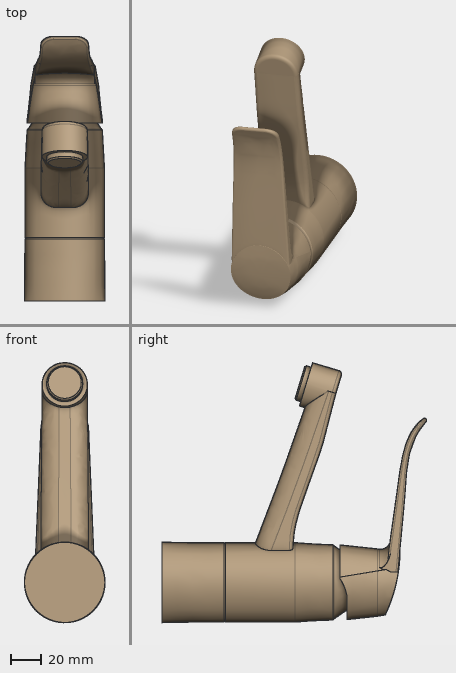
import cadquery as cq
import math


BASE_RADIUS = 26.87
BARREL_RADIUS = 26.5
SHOULDER_RADIUS = 25.1
NECK_RADIUS = 18.6
GROOVE_Y = 41.8
GROOVE_WIDTH = 0.9
GROOVE_DEPTH = 0.4
TAPER_START_Y = 88.5
SHOULDER_Y = 114.4
SHOULDER_CHAMFER = 0.6
NECK_Y = 123.0

HUB_FRONT_Y = 118.4
HUB_FRONT_RADIUS = 25.0
HUB_KNEE_Y = 143.5
HUB_KNEE_RADIUS = 22.3
HUB_BACK_Y = 161.0
HUB_BACK_RADIUS = 19.2
HUB_BOTTOM_BACK_Y = 145.5
HUB_TOP_INSIDE_LEVER = (154.0, 30.0)

RIDGE_STEP = 0.3
RIDGE_FRONT_Z = 3.5
RIDGE_BACK_Z = 10.5
SKIRT_FRONT_Y = 123.0
SKIRT_BREAK_Z = 2.6
SKIRT_CURVE_MID = (121.2, -2.5)
SKIRT_TOP_Z = -8.4

LEVER_BACK = [
    (148.5, -21.9), (154.8, -5.2), (158.5, 23.2),
    (161.9, 60.2), (164.8, 85.8), (176.75, 108.0),
]
LEVER_FRONT = [
    (174.75, 109.5), (166.9, 101.5), (159.9, 83.0),
    (156.1, 57.4), (151.9, 28.5), (150.0, 10.0),
]
LEVER_TOP_Z = 110.0
LEVER_TIP_HEIGHT = 5.0
LEVER_ROOT_Z = 7.0
LEVER_ROOT_HALF_WIDTH = 19.9
LEVER_TOP_HALF_WIDTH = 15.6
LEVER_CORNER_RADIUS = 8.5
LEVER_EDGE_RADIUS = 1.2
LEVER_THICKNESS_RISE = 3.0

BLEND_LENGTH = 8.75
BLEND_HEIGHT = 6.5
BLEND_MID_LENGTH = 5.8
BLEND_MID_HEIGHT = 1.0

HEAD_TILT = math.radians(16.8)
HEAD_RADIUS = 15.1
HEAD_LENGTH = 20.8
HEAD_FACE_Y = 95.9
HEAD_FACE_Z = 131.69
BACK_EDGE_RADIUS = 2.5
AERATOR_RADIUS = 12.0
AERATOR_LENGTH = 4.25
AERATOR_CHAMFER = 1.0

ARM_BACK = [(107.3, 92.9), (99.0, 68.7), (91.5, 47.4)]
ARM_FRONT_MID = (80.7, 75.0)
ARM_ROOT_Z = 18.0
ARM_ROOT_BACK_Y = 87.2
ARM_ROOT_FRONT_Y = 59.0
ARM_ROOT_HALF_WIDTH = 15.9
ARM_TOP_DEPTH = 4.2
ARM_FRONT_RADIUS = 11.6
ARM_SPLIT_Y = 92.0
ARM_EDGE_MARGIN = 15.0

REACH = 250.0


def turned(points):
    """Revolve a closed (radius, Y) outline about the Y axis."""
    return cq.Workplane("XY").polyline(points).close().revolve(360, (0, 0, 0), (0, 1, 0))


def side_sketch():
    """Workplane for (Y, Z) outlines, far out on the -X side."""
    return cq.Workplane("YZ", origin=(-REACH, 0, 0))


def across(outline):
    """Sweep a (Y, Z) outline right across the part."""
    return outline.extrude(2 * REACH)


def tapered_plate(bottom_z, bottom_half_width, top_z, top_half_width):
    """Symmetric trapezoid in X and Z, swept along the full length in Y."""
    return (
        cq.Workplane("XZ", origin=(0, REACH, 0))
        .moveTo(-bottom_half_width, bottom_z)
        .lineTo(bottom_half_width, bottom_z)
        .lineTo(top_half_width, top_z)
        .lineTo(-top_half_width, top_z)
        .close()
        .extrude(REACH)
    )


def edges_between(solid, low_z, high_z):
    """Edges whose centre lies between two heights."""
    return [edge for edge in solid.edges().vals() if low_z < edge.Center().z < high_z]


def make_body():
    groove_start = GROOVE_Y - GROOVE_WIDTH / 2
    groove_end = GROOVE_Y + GROOVE_WIDTH / 2
    groove_radius = BARREL_RADIUS - GROOVE_DEPTH
    return turned([
        (0, 0),
        (BASE_RADIUS, 0),
        (BARREL_RADIUS, groove_start),
        (groove_radius, groove_start),
        (groove_radius, groove_end),
        (BARREL_RADIUS, groove_end),
        (BARREL_RADIUS, TAPER_START_Y),
        (SHOULDER_RADIUS, SHOULDER_Y - SHOULDER_CHAMFER),
        (SHOULDER_RADIUS - SHOULDER_CHAMFER, SHOULDER_Y),
        (NECK_RADIUS, NECK_Y),
        (0, NECK_Y),
    ])


def hub_cone(extra_radius):
    return turned([
        (0, HUB_FRONT_Y),
        (HUB_FRONT_RADIUS + extra_radius, HUB_FRONT_Y),
        (HUB_KNEE_RADIUS + extra_radius, HUB_KNEE_Y),
        (HUB_BACK_RADIUS + extra_radius, HUB_BACK_Y),
        (0, HUB_BACK_Y),
    ])


def make_hub():
    """Cone with a skirt below a sloping ridge, trimmed to its side outline."""
    below_ridge = (
        side_sketch()
        .moveTo(HUB_FRONT_Y, RIDGE_FRONT_Z)
        .lineTo(HUB_BACK_Y, RIDGE_BACK_Z)
        .lineTo(HUB_BACK_Y, -REACH)
        .lineTo(HUB_FRONT_Y, -REACH)
        .close()
    )
    outline = (
        side_sketch()
        .moveTo(HUB_FRONT_Y, HUB_TOP_INSIDE_LEVER[1])
        .lineTo(HUB_FRONT_Y, SKIRT_BREAK_Z)
        .threePointArc(SKIRT_CURVE_MID, (SKIRT_FRONT_Y, SKIRT_TOP_Z))
        .lineTo(SKIRT_FRONT_Y, -REACH)
        .lineTo(HUB_BOTTOM_BACK_Y, -REACH)
        .lineTo(*LEVER_BACK[0])
        .spline(LEVER_BACK[1:3], includeCurrent=True)
        .lineTo(*HUB_TOP_INSIDE_LEVER)
        .close()
    )
    skirt = hub_cone(RIDGE_STEP).intersect(across(below_ridge))
    return hub_cone(0).union(skirt).intersect(across(outline))


def lever_width():
    return tapered_plate(LEVER_ROOT_Z, LEVER_ROOT_HALF_WIDTH, LEVER_TOP_Z, LEVER_TOP_HALF_WIDTH)


def make_root_blend():
    """Concave ring between the hub and the lever, kept to the lever's width."""
    end_y = HUB_KNEE_Y + BLEND_LENGTH
    ring = (
        cq.Workplane("XY")
        .moveTo(0, HUB_KNEE_Y)
        .lineTo(HUB_KNEE_RADIUS, HUB_KNEE_Y)
        .threePointArc(
            (HUB_KNEE_RADIUS + BLEND_MID_HEIGHT, HUB_KNEE_Y + BLEND_MID_LENGTH),
            (HUB_KNEE_RADIUS + BLEND_HEIGHT, end_y),
        )
        .lineTo(0, end_y)
        .close()
        .revolve(360, (0, 0, 0), (0, 1, 0))
    )
    return ring.intersect(lever_width())


def crosses_thickness(edge):
    """True for a short edge that runs from the lever's back to its front."""
    start = edge.startPoint()
    end = edge.endPoint()
    same_side = abs(start.x - end.x) < LEVER_EDGE_RADIUS / 4
    return same_side and abs(start.z - end.z) < LEVER_THICKNESS_RISE


def make_lever():
    outline = (
        side_sketch()
        .moveTo(*LEVER_BACK[0])
        .spline(LEVER_BACK[1:], includeCurrent=True)
        .lineTo(*LEVER_FRONT[0])
        .spline(LEVER_FRONT[1:], includeCurrent=True)
        .close()
    )
    blade = across(outline).intersect(lever_width())

    tip_edges = edges_between(blade, LEVER_TOP_Z - LEVER_TIP_HEIGHT, LEVER_TOP_Z)
    corners = [edge for edge in tip_edges if crosses_thickness(edge)]
    blade = blade.newObject(corners).fillet(LEVER_CORNER_RADIUS)

    upper_edges = edges_between(blade, HUB_KNEE_RADIUS, LEVER_TOP_Z)
    rims = [edge for edge in upper_edges if not crosses_thickness(edge)]
    return blade.newObject(rims).fillet(LEVER_EDGE_RADIUS)


def head_plane():
    """Outlet face, with its normal along the outlet axis."""
    return cq.Plane(
        origin=(0, HEAD_FACE_Y, HEAD_FACE_Z),
        xDir=(1, 0, 0),
        normal=(0, -math.cos(HEAD_TILT), math.sin(HEAD_TILT)),
    )


def make_head():
    barrel = cq.Workplane(head_plane()).circle(HEAD_RADIUS).extrude(-HEAD_LENGTH)
    return barrel.faces(">Y").edges().fillet(BACK_EDGE_RADIUS)


def make_aerator():
    disc = cq.Workplane(head_plane()).circle(AERATOR_RADIUS).extrude(AERATOR_LENGTH)
    return disc.faces("<Y").edges().chamfer(AERATOR_CHAMFER)


def arm_long_edges(solid):
    return edges_between(solid, ARM_ROOT_Z + ARM_EDGE_MARGIN, HEAD_FACE_Z - ARM_EDGE_MARGIN)


def make_arm():
    """Tapered bar from the body to the outlet axis, with a well-rounded front."""
    plane = head_plane()
    top_back = plane.toWorldCoords((0, 0, -HEAD_LENGTH))
    top_front = plane.toWorldCoords((0, 0, -ARM_TOP_DEPTH))
    along_head_back = (-plane.yDir.y, -plane.yDir.z)
    straight_down = (0, -1)
    outline = (
        side_sketch()
        .moveTo(top_back.y, top_back.z)
        .spline(
            ARM_BACK + [(ARM_ROOT_BACK_Y, ARM_ROOT_Z)],
            includeCurrent=True,
            tangents=[along_head_back, straight_down],
        )
        .lineTo(ARM_ROOT_FRONT_Y, ARM_ROOT_Z)
        .threePointArc(ARM_FRONT_MID, (top_front.y, top_front.z))
        .close()
    )
    width = tapered_plate(ARM_ROOT_Z, ARM_ROOT_HALF_WIDTH, HEAD_FACE_Z, HEAD_RADIUS)
    bar = across(outline).intersect(width)

    front_edges = [edge for edge in arm_long_edges(bar) if edge.Center().y < ARM_SPLIT_Y]
    bar = bar.newObject(front_edges).fillet(ARM_FRONT_RADIUS)
    back_edges = [edge for edge in arm_long_edges(bar) if edge.Center().y > ARM_SPLIT_Y]
    return bar.newObject(back_edges).fillet(BACK_EDGE_RADIUS)


handle = make_hub().union(make_root_blend()).union(make_lever())
spout = make_head().union(make_arm()).union(make_aerator())
result = make_body().union(handle).union(spout)